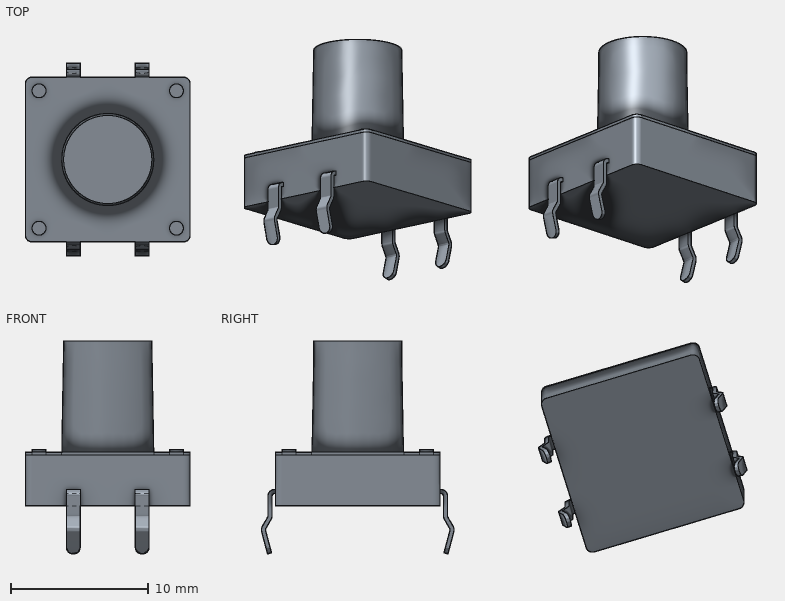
import cadquery as cq
import math

HEIGHT_ABOVE_BOARD = 12.0

BODY_SIDE = 12.0
BODY_CORNER_RADIUS = 0.5
BODY_HEIGHT = 3.9
COVER_THICKNESS = 0.22
HOUSING_HEIGHT = BODY_HEIGHT - COVER_THICKNESS

BUTTON_BASE_DIAMETER = 6.71
BUTTON_TOP_DIAMETER = 6.42

RIVET_DIAMETER = 1.0
RIVET_PROTRUSION = 0.2
RIVET_PITCH = 10.0

LEAD_WIDTH = 1.0
LEAD_THICKNESS = 0.31
LEAD_PITCH = 5.0
LEAD_TOP = 1.21
BEND_INNER_RADIUS = 0.2
LEAD_RUNS = [(0.03, 90), (1.43, -30), (0.76, 45), (1.18, 0)]


def square_plate(height):
    """Square plate with rounded corners, standing on Z = 0."""
    return (
        cq.Workplane("XY")
        .rect(BODY_SIDE, BODY_SIDE)
        .extrude(height)
        .edges("|Z")
        .fillet(BODY_CORNER_RADIUS)
    )


def make_button():
    """Tapered button that rises from the housing top through the cover."""
    cone = cq.Solid.makeCone(
        BUTTON_BASE_DIAMETER / 2,
        BUTTON_TOP_DIAMETER / 2,
        HEIGHT_ABOVE_BOARD - HOUSING_HEIGHT,
        cq.Vector(0, 0, HOUSING_HEIGHT),
    )
    return cq.Workplane(cone)


def make_rivets():
    """Four rivets that rise from the housing top and stand proud of the cover."""
    return (
        cq.Workplane("XY")
        .workplane(offset=HOUSING_HEIGHT)
        .rect(RIVET_PITCH, RIVET_PITCH, forConstruction=True)
        .vertices()
        .circle(RIVET_DIAMETER / 2)
        .extrude(COVER_THICKNESS + RIVET_PROTRUSION)
    )


def make_housing():
    """Housing block with the button and the rivets that rise through the cover."""
    return square_plate(HOUSING_HEIGHT).union(make_button()).union(make_rivets())


def make_cover():
    """Cover plate flush with the housing sides, with holes for the button and the rivets."""
    return (
        square_plate(COVER_THICKNESS)
        .translate((0, 0, HOUSING_HEIGHT))
        .cut(make_button())
        .cut(make_rivets())
    )


def lead_stations():
    """Points (y, z, heading) on the centre line: each run's start and end, then the middle of its bend."""
    radius = BEND_INNER_RADIUS + LEAD_THICKNESS / 2
    y = -BODY_SIDE / 2
    z = LEAD_TOP - LEAD_THICKNESS / 2
    heading = math.pi
    stations = []
    for length, turn_degrees in LEAD_RUNS:
        stations.append((y, z, heading))
        y += length * math.cos(heading)
        z += length * math.sin(heading)
        stations.append((y, z, heading))
        if turn_degrees == 0:
            continue
        turn = math.radians(turn_degrees)
        signed_radius = math.copysign(radius, turn)
        centre_y = y - signed_radius * math.sin(heading)
        centre_z = z + signed_radius * math.cos(heading)
        middle = heading + turn / 2
        middle_y = centre_y + signed_radius * math.sin(middle)
        middle_z = centre_z - signed_radius * math.cos(middle)
        stations.append((middle_y, middle_z, middle))
        heading += turn
        y = centre_y + signed_radius * math.sin(heading)
        z = centre_z - signed_radius * math.cos(heading)
    return stations


def lead_face(stations, offset):
    """Points of the stations moved sideways from the centre line by the offset."""
    return [(y - offset * math.sin(angle), z + offset * math.cos(angle)) for y, z, angle in stations]


def trace_face(outline, points):
    """Continue the outline along a lead face: a line for each run and an arc for each bend."""
    for start in range(0, len(points), 3):
        outline = outline.lineTo(*points[start + 1])
        if start + 3 < len(points):
            outline = outline.threePointArc(points[start + 2], points[start + 3])
    return outline


def make_lead():
    """Bent strip centred on X = 0, on the -Y wall, with a half-round tip."""
    stations = lead_stations()
    inner = lead_face(stations, LEAD_THICKNESS / 2)
    outer = lead_face(stations, -LEAD_THICKNESS / 2)
    outline = trace_face(cq.Workplane("YZ").moveTo(*inner[0]), inner)
    outline = trace_face(outline.lineTo(*outer[-1]), outer[::-1])
    strip = outline.close().extrude(LEAD_WIDTH / 2, both=True)

    tip_y, tip_z, heading = stations[-1]
    sheet_normal = (0, -math.sin(heading), math.cos(heading))
    tip_plane = cq.Plane(origin=(0, tip_y, tip_z), xDir=(1, 0, 0), normal=sheet_normal)
    tip = (
        cq.Workplane(tip_plane)
        .moveTo(-LEAD_WIDTH / 2, 0)
        .threePointArc((0, LEAD_WIDTH / 2), (LEAD_WIDTH / 2, 0))
        .close()
        .extrude(LEAD_THICKNESS / 2, both=True)
    )
    return strip.union(tip)


housing = make_housing()
cover = make_cover()
leads = []
for turn in (0, 180):
    for x in (-LEAD_PITCH / 2, LEAD_PITCH / 2):
        leads.append(make_lead().translate((x, 0, 0)).rotate((0, 0, 0), (0, 0, 1), turn))

result = cq.Compound.makeCompound([housing.val(), cover.val(), *[lead.val() for lead in leads]])